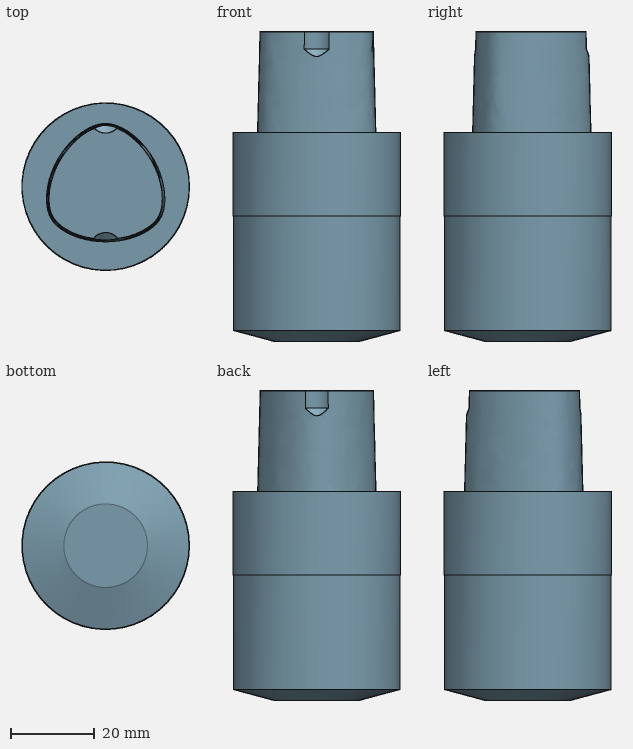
import cadquery as cq
import math

total_height = 74.0
collar_diameter = 40.0
collar_height = 20.0
body_diameter = 39.8
end_face_diameter = 20.0
end_cone_angle = 15.0

shank_height = 24.05
shank_mean_radius = 14.1
lobe_height = 0.95
taper_per_side = 1 / 40
outline_points = 48

notch_radius = 3.7
notch_wall_depth = 4.15
front_notch_y = -14.65
back_notch_y = 16.5

collar_top = total_height - shank_height
collar_bottom = collar_top - collar_height
body_radius = body_diameter / 2
collar_radius = collar_diameter / 2
end_face_radius = end_face_diameter / 2
end_cone_height = (body_radius - end_face_radius) * math.tan(math.radians(end_cone_angle))


def make_body():
    """Revolved body with a conical lower end and a slightly wider collar."""
    return (
        cq.Workplane("XZ")
        .lineTo(end_face_radius, 0)
        .lineTo(body_radius, end_cone_height)
        .lineTo(body_radius, collar_bottom)
        .lineTo(collar_radius, collar_bottom)
        .lineTo(collar_radius, collar_top)
        .lineTo(0, collar_top)
        .close()
        .revolve(360, (0, 0, 0), (0, 1, 0))
    )


def lobed_outline(mean_radius):
    """Points of a constant-width, three-lobed curve with one lobe toward +Y."""
    points = []
    for i in range(outline_points):
        angle = 2 * math.pi * i / outline_points
        reach = mean_radius - lobe_height * math.sin(3 * angle)
        slope = -3 * lobe_height * math.cos(3 * angle)
        x = reach * math.cos(angle) - slope * math.sin(angle)
        y = reach * math.sin(angle) + slope * math.cos(angle)
        points.append((x, y))
    return points


def make_shank():
    """Lobed shank whose outline shrinks evenly toward the tip."""
    tip_mean_radius = shank_mean_radius - shank_height * taper_per_side
    return (
        cq.Workplane("XY", origin=(0, 0, collar_top))
        .spline(lobed_outline(shank_mean_radius), periodic=True)
        .close()
        .workplane(offset=shank_height)
        .spline(lobed_outline(tip_mean_radius), periodic=True)
        .close()
        .loft(ruled=True)
    )


def make_notch_cutter(center_y):
    """Vertical round cutter with a 90 degree point, open at the shank tip."""
    wall_bottom = total_height - notch_wall_depth
    return (
        cq.Workplane("XZ", origin=(0, center_y, 0))
        .moveTo(0, total_height)
        .lineTo(notch_radius, total_height)
        .lineTo(notch_radius, wall_bottom)
        .lineTo(0, wall_bottom - notch_radius)
        .close()
        .revolve(360, (0, 0, 0), (0, 1, 0))
    )


result = make_body().union(make_shank())
for notch_y in (front_notch_y, back_notch_y):
    result = result.cut(make_notch_cutter(notch_y))